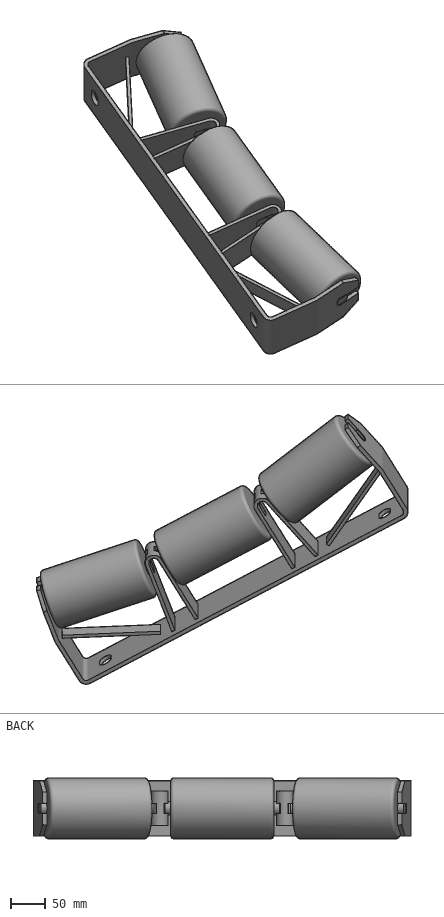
import cadquery as cq
import math

frame_length = 550.0
strip_width = 81.0
strip_thickness = 6.0
corner_radius = 12.0
wing_bend_height = 83.0
wing_top = 160.0
wing_chamfer_start = 132.0
wing_tip_width = 47.5

mount_slot_width = 19.0
mount_slot_height = 26.5
mount_slot_spacing = 468.5

roller_diameter = 89.0
roller_length = 150.0
roller_edge_radius = 5.0
axle_diameter = 20.0
axle_flat_width = 15.0
support_gap = 157.5
middle_axis_height = 100.0
tilt = 10.0

bracket_thickness = 5.0
bracket_width = 50.0
bracket_bend_height = 114.0

brace_thickness = 5.0
brace_width = 25.5
brace_angle = 27.3
brace_foot_x = 139.0

cos_tilt = math.cos(math.radians(tilt))
sin_tilt = math.sin(math.radians(tilt))
half_length = frame_length / 2
half_gap = support_gap / 2
axle_length = support_gap + 2 * bracket_thickness
slot_length = support_gap + 2 * strip_thickness
half_slot = slot_length / 2
seat_drop = bracket_bend_height - middle_axis_height

bend_center_x = (
    half_length * cos_tilt + (wing_bend_height - bracket_bend_height) * sin_tilt - half_slot
) / (1 + cos_tilt)
bracket_outer_radius = bend_center_x - half_gap
bracket_inner_radius = bracket_outer_radius - bracket_thickness
side_roller_x = bend_center_x * (1 + cos_tilt) + seat_drop * sin_tilt
side_roller_y = bracket_bend_height + bend_center_x * sin_tilt - seat_drop * cos_tilt

roller_places = [
    (-side_roller_x, side_roller_y, -tilt),
    (0.0, middle_axis_height, 0.0),
    (side_roller_x, side_roller_y, tilt),
]


def place(shape, x, y, angle):
    return shape.rotate((0, 0, 0), (0, 0, 1), angle).translate((x, y, 0))


def mirrored(shape):
    return shape.mirror("YZ")


def bar_along_x(diameter, length):
    return cq.Workplane("YZ", origin=(-length / 2, 0, 0)).circle(diameter / 2).extrude(length)


def flatted_bar(length):
    """A bar along X as thick as the axle, with two flats that face up and down."""
    flats = cq.Workplane("XY").box(length, axle_diameter, axle_flat_width)
    return bar_along_x(axle_diameter, length).intersect(flats)


def make_roller():
    """Drum with a round axle whose ends, inside the supports, are flatted."""
    drum = bar_along_x(roller_diameter, roller_length).edges().fillet(roller_edge_radius)
    round_axle = bar_along_x(axle_diameter, support_gap)
    return drum.union(round_axle).union(flatted_bar(axle_length))


def make_axle_slot():
    """The flatted axle and the open way above it, along which it drops into its supports."""
    way = cq.Workplane("XY").box(
        slot_length, wing_top, axle_flat_width, centered=(True, False, True)
    )
    return flatted_bar(slot_length).union(way)


def cut_axle_slots(support):
    for x, y, angle in roller_places:
        support = support.cut(place(make_axle_slot(), x, y, angle))
    return support


def half_frame():
    """Right half of the bent strip, with its wing leaning inwards by the tilt."""
    wing_rise = wing_top - wing_bend_height
    tip_x = half_length - wing_rise * sin_tilt / cos_tilt
    miter_drop = strip_thickness * math.tan(math.radians(tilt / 2))
    inner_x = half_length - strip_thickness
    return (
        cq.Workplane("XY")
        .moveTo(0, 0)
        .lineTo(half_length - corner_radius, 0)
        .radiusArc((half_length, corner_radius), -corner_radius)
        .lineTo(half_length, wing_bend_height)
        .lineTo(tip_x, wing_top)
        .lineTo(tip_x - strip_thickness * cos_tilt, wing_top - strip_thickness * sin_tilt)
        .lineTo(inner_x, wing_bend_height - miter_drop)
        .lineTo(inner_x, corner_radius)
        .radiusArc((half_length - corner_radius, strip_thickness), corner_radius - strip_thickness)
        .lineTo(0, strip_thickness)
        .close()
        .extrude(strip_width / 2, both=True)
    )


def wing_outline():
    """The strip seen along X: full width below, tapered towards the tips of the wings."""
    half_width = strip_width / 2
    half_tip = wing_tip_width / 2
    return (
        cq.Workplane("YZ")
        .polyline(
            [
                (0, -half_width),
                (wing_chamfer_start, -half_width),
                (wing_top, -half_tip),
                (wing_top, half_tip),
                (wing_chamfer_start, half_width),
                (0, half_width),
            ]
        )
        .close()
        .extrude(half_length, both=True)
    )


def make_frame():
    right_half = half_frame()
    frame = right_half.union(mirrored(right_half)).intersect(wing_outline())
    mount_slots = (
        cq.Workplane("XZ")
        .pushPoints([(-mount_slot_spacing / 2, 0), (mount_slot_spacing / 2, 0)])
        .slot2D(mount_slot_height, mount_slot_width, 90)
        .extrude(-strip_thickness)
    )
    return cut_axle_slots(frame.cut(mount_slots))


def bracket_side(radius):
    """Points on one side of the right-hand bracket, from the upright foot to the leaning one."""
    upright_x = bend_center_x - radius
    lean_x = bend_center_x + radius * cos_tilt
    lean_y = bracket_bend_height + radius * sin_tilt
    foot_x = lean_x + (lean_y - strip_thickness) * sin_tilt / cos_tilt
    return {
        "upright_foot": (upright_x, strip_thickness),
        "upright_top": (upright_x, bracket_bend_height),
        "crest": (bend_center_x, bracket_bend_height + radius),
        "lean_top": (lean_x, lean_y),
        "lean_foot": (foot_x, strip_thickness),
    }


def make_bracket():
    outer = bracket_side(bracket_outer_radius)
    inner = bracket_side(bracket_inner_radius)
    strip = (
        cq.Workplane("XY")
        .moveTo(*outer["upright_foot"])
        .lineTo(*outer["upright_top"])
        .threePointArc(outer["crest"], outer["lean_top"])
        .lineTo(*outer["lean_foot"])
        .lineTo(*inner["lean_foot"])
        .lineTo(*inner["lean_top"])
        .threePointArc(inner["crest"], inner["upright_top"])
        .lineTo(*inner["upright_foot"])
        .close()
        .extrude(bracket_width / 2, both=True)
    )
    return cut_axle_slots(strip)


def make_brace():
    """Right-hand bar, rising from its foot on the base to the inner face of the end."""
    slope = math.radians(brace_angle)
    reach = half_length - strip_thickness - brace_foot_x - brace_thickness * math.sin(slope)
    bar = cq.Workplane("XY").box(
        reach / math.cos(slope), brace_thickness, brace_width, centered=(False, False, True)
    )
    foot_x = brace_foot_x + brace_thickness * math.sin(slope)
    return place(bar, foot_x, strip_thickness, brace_angle)


frame = make_frame()
right_bracket = make_bracket()
right_brace = make_brace()
brackets = [right_bracket, mirrored(right_bracket)]
braces = [right_brace, mirrored(right_brace)]
rollers = [place(make_roller(), x, y, angle) for x, y, angle in roller_places]

bodies = [frame, *brackets, *braces, *rollers]
result = cq.Compound.makeCompound([body.val() for body in bodies])